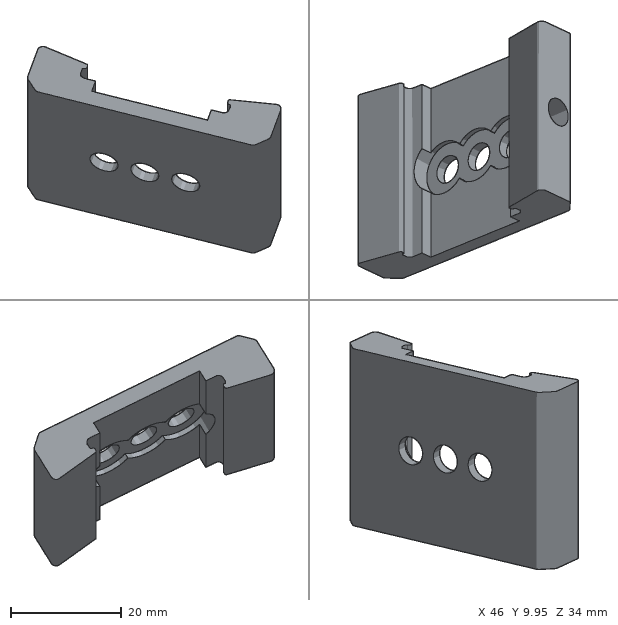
import cadquery as cq
import math

width = 46.0
depth = 9.95
length = 34.0

web_thickness = 3.0
ledge_height = 5.35
ledge_reach = 12.05
groove_reach = 8.95
lip_reach = 9.7
lip_underside = 7.4
top_slope = math.radians(10)
outer_chamfer = 2.4

outer_radius = 1.0
groove_floor_radius = 1.0
groove_roof_radius = 0.3
lip_radius = 0.35

hole_diameter = 5.3
hole_spacing = 7.75
side_hole_height = 5.6
side_hole_depth = 7.0
counterbore_diameter = 10.3
counterbore_floor = 2.0

side_height = depth - outer_radius + outer_radius * (math.tan(top_slope) + 1 / math.cos(top_slope))
lip_top = side_height - lip_reach * math.tan(top_slope)

corners = [
    (outer_chamfer, 0, outer_radius),
    (0, outer_chamfer, outer_radius),
    (0, side_height, outer_radius),
    (lip_reach, lip_top, lip_radius),
    (lip_reach, lip_underside, lip_radius),
    (groove_reach, lip_underside, groove_roof_radius),
    (groove_reach, ledge_height, groove_floor_radius),
    (ledge_reach, ledge_height, 0),
    (ledge_reach, web_thickness, 0),
]


def make_half():
    """Extrude the left half of the channel and round its lengthwise corners."""
    points = [(inset - width / 2, height) for inset, height, _ in corners]
    outline = [(0, 0)] + points + [(0, web_thickness)]
    half = cq.Workplane("XY").polyline(outline).close().extrude(length / 2, both=True)
    for (x, y), (_, _, radius) in zip(points, corners):
        if radius > 0:
            edge = half.edges("|Z").edges(cq.selectors.NearestToPointSelector((x, y, 0)))
            half = edge.fillet(radius)
    return half


def make_bore(diameter, x, floor):
    """Cylinder along Y at the given X, from a floor height out through the back."""
    return cq.Workplane(
        obj=cq.Solid.makeCylinder(diameter / 2, depth - floor, cq.Vector(x, floor, 0), cq.Vector(0, 1, 0))
    )


def cut_web_holes(body):
    """Drill the row of holes through the web and counterbore them from the back."""
    for index in (-1, 0, 1):
        x = index * hole_spacing
        body = body.cut(make_bore(hole_diameter, x, 0))
        body = body.cut(make_bore(counterbore_diameter, x, counterbore_floor))
    return body


def cut_side_hole(body):
    """Drill the blind hole into the left arm."""
    start = cq.Vector(-width / 2, side_hole_height, 0)
    hole = cq.Solid.makeCylinder(hole_diameter / 2, side_hole_depth, start, cq.Vector(1, 0, 0))
    return body.cut(cq.Workplane(obj=hole))


half_channel = make_half()
channel = half_channel.union(half_channel.mirror("YZ")).clean()
result = cut_side_hole(cut_web_holes(channel))